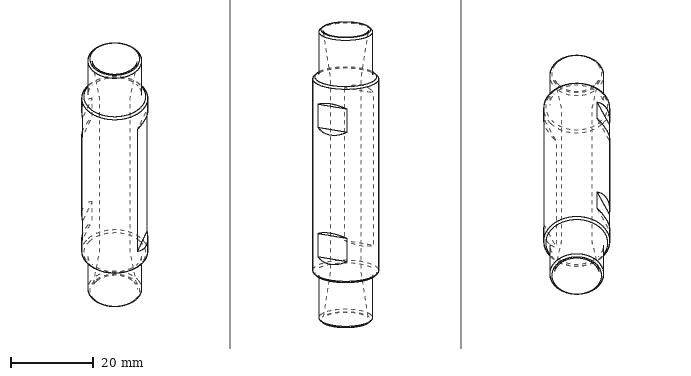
import cadquery as cq

length = 74.0
body_diameter = 16.0
spigot_diameter = 13.0
bore_diameter = 7.5

spigot_length = 12.0
thread_length = 8.65
end_chamfer = 0.5
shoulder_chamfer = 0.5
root_fillet = 0.75

mouth_diameter = 11.0
mouth_depth = 12.0
mouth_rounding = 0.2

flat_offset = 6.95
flat_end = 16.5
short_flat_length = 8.0

body_radius = body_diameter / 2
spigot_radius = spigot_diameter / 2
bore_radius = bore_diameter / 2
mouth_radius = mouth_diameter / 2


def spigot():
    """Lower spigot, its two coaxial bands and the filleted root against the body shoulder."""
    thread = cq.Workplane("XY").circle(spigot_radius).extrude(thread_length)
    thread = thread.faces("<Z").chamfer(end_chamfer)
    root_start = spigot_length - root_fillet
    neck = (
        cq.Workplane("XZ")
        .moveTo(0, thread_length)
        .lineTo(spigot_radius, thread_length)
        .lineTo(spigot_radius, root_start)
        .radiusArc((spigot_radius + root_fillet, spigot_length), root_fillet)
        .lineTo(0, spigot_length)
        .close()
        .revolve(360, (0, 0, 0), (0, 1, 0))
    )
    return thread.union(neck, clean=False)


def mirror_to_top(shape):
    """Copy a lower-end feature to the upper end."""
    return shape.mirror("XY").translate((0, 0, length))


def bore_mouth():
    """Cone narrowing from the end face to the bore."""
    return (
        cq.Workplane("XY")
        .circle(mouth_radius)
        .workplane(offset=mouth_depth)
        .circle(bore_radius)
        .loft(ruled=True)
    )


def flat_cutter(side, bottom, top):
    """Trapezoidal cutter for a flat on the given X side (-1 or 1)."""
    depth = body_radius - flat_offset
    outer_offset = body_radius + depth
    profile = [
        (side * outer_offset, bottom - depth),
        (side * flat_offset, bottom + depth),
        (side * flat_offset, top - depth),
        (side * outer_offset, top + depth),
    ]
    return cq.Workplane("XZ").polyline(profile).close().extrude(body_radius, both=True)


body = (
    cq.Workplane("XY")
    .workplane(offset=spigot_length)
    .circle(body_radius)
    .extrude(length - 2 * spigot_length)
    .faces("<Z or >Z")
    .chamfer(shoulder_chamfer)
)

short_flat_end = flat_end + short_flat_length
flat_spans = [
    (-1, flat_end, short_flat_end),
    (-1, length - short_flat_end, length - flat_end),
    (1, flat_end, length - flat_end),
]
for side, bottom, top in flat_spans:
    body = body.cut(flat_cutter(side, bottom, top))

bore = cq.Workplane("XY").circle(bore_radius).extrude(length)
lower_spigot = spigot()
lower_mouth = bore_mouth()

result = body.union(lower_spigot, clean=False).union(mirror_to_top(lower_spigot), clean=False)
for cavity in (bore, lower_mouth, mirror_to_top(lower_mouth)):
    result = result.cut(cavity, clean=False)

for end_face in ("<Z", ">Z"):
    rim = result.faces(end_face).edges(cq.selectors.RadiusNthSelector(0))
    result = rim.fillet(mouth_rounding)